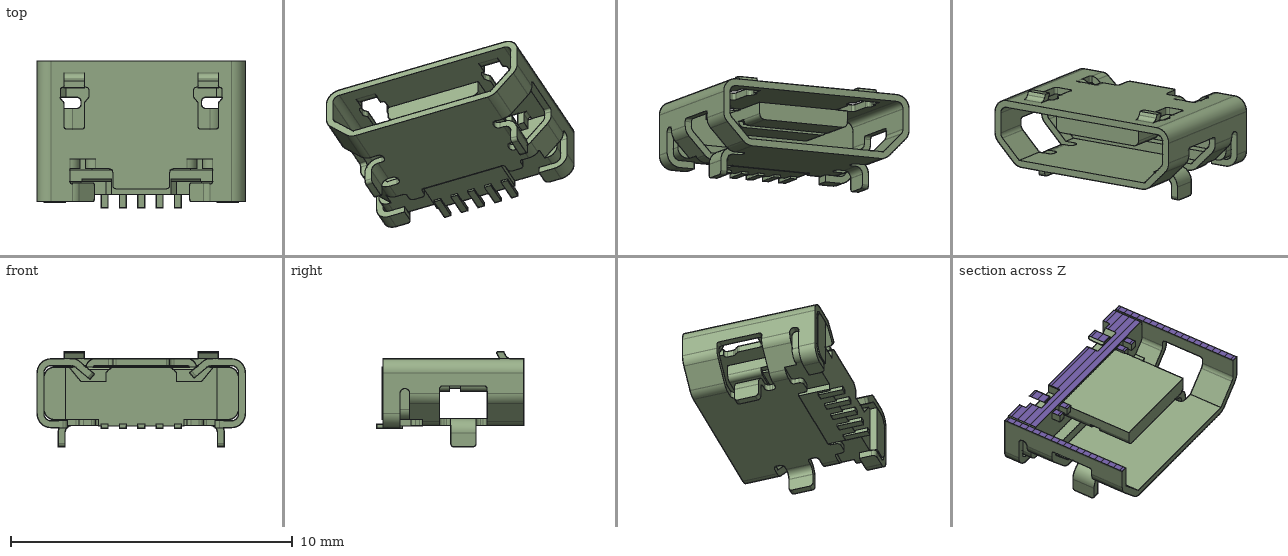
import cadquery as cq
import math


width = 7.4
depth = 5.0
shell_top = 2.45
sheet = 0.25
bend_radius = 0.5
rear_bottom = 0.08
taper = 0.93
half_width = width / 2
inner_half_width = half_width - sheet
rear_floor = rear_bottom + sheet
overrun = 1.0
sheet_cut_margin = 0.1
pick_margin = 0.01

foot_depth = 0.61
foot_inner_x = 2.61
foot_corner = 0.16
slit_end = 0.95
slit_top = 1.39
slit_top_radius = 0.165

lip_half_width = 1.01
lip_front = 0.455
lip_corner = 0.12
notch_half_width = 2.53
notch_rear = 1.17
notch_corner = 0.15
tab_rear = 1.52
tab_inner_x = 1.62
tab_bend_radius = 0.35
tab_drop = 0.4

flap_root_x = 2.44
flap_depth = 0.67
flap_angle = 40
flap_bend_radius = 0.37
left_flap_length = 0.71
right_flap_length = 0.64
flap_corner = 0.1
flap_clearance = 0.05

window_outer_x = 2.74
window_inner_x = 2.015
window_head_outer_x = 2.87
window_head_inner_x = 1.86
window_front = 2.57
window_neck = 3.52
window_outer_shoulder = 3.66
window_inner_shoulder = 3.70
window_rear = 4.06
window_corner = 0.1
hook_top = 2.7
hook_root = 4.56
hook_angle = 63
hook_length = 0.5
hook_bend_radius = 0.235
hook_tip_chamfer = 0.05

cutout_front = 2.01
cutout_rear = 3.70
cutout_top = 1.48
cutout_inner_x = 2.14
cutout_corner = 0.1
leg_slit_corner = 0.15
leg_front = 2.405
leg_rear = 3.31
leg_bottom = -0.68
leg_bend_x = 2.44
leg_bend_radius = 0.51
leg_corner = 0.12

bottom_notch_x = 3.12
bottom_notch_rear = 1.405
bottom_tab_outer_x = 2.205
bottom_tab_inner_x = 1.615
bottom_tab_front = 1.0
bottom_tab_corner = 0.15
bottom_tab_root_radius = 0.11

housing_top = 2.15
housing_bottom = 0.29
housing_corner = 0.36
housing_rear = 1.13
housing_face = 0.25
housing_floor_top = 0.7
end_block_front = -0.03
end_block_x = 2.69
base_half_width = 1.51
base_bottom = 0.06

pocket_bottom = 1.64
pocket_inner_x = 1.25
pocket_mouth_inner_x = 1.06
pocket_inner_chamfer_z = 1.96
pocket_outer_x = 2.14
pocket_mouth_outer_x = 2.56
pocket_rear = 0.71
pocket_mouth_rear = 0.80
pocket_rear_chamfer = 0.08
pocket_chamfer_outer_x = 2.10

tongue_half_width = 1.75
tongue_bottom = 1.29
tongue_top = 1.9
tongue_rear = 4.0
tongue_edge_radius = 0.2
groove_front = 2.37
groove_rear = 2.75
groove_top = 1.40

pin_count = 5
pin_pitch = 0.65
pin_width = 0.25
pin_height = 0.15
pin_bottom = -0.02
pin_tip = -0.22
pin_root = 0.70


def block(x0, x1, y0, y1, z0, z1):
    """Box between two opposite corners."""
    return cq.Workplane("XY").box(x1 - x0, y1 - y0, z1 - z0, centered=False).translate((x0, y0, z0))


def both_sides(body):
    """The body together with its mirror image about X = 0."""
    return body.union(body.mirror("YZ"))


def bent_strip(root_x, top_z, y0, y1, radius, angle, straight, turn=1):
    """Sheet leaving root_x level at top_z, then bent down; turn is its X direction."""
    a = math.radians(angle)
    center_z = top_z - radius
    inner = radius - sheet

    def on_bend(r, t):
        return (root_x + turn * r * math.sin(t), center_z + r * math.cos(t))

    def extended(point):
        return (point[0] + turn * straight * math.cos(a), point[1] - straight * math.sin(a))

    outer_end = on_bend(radius, a)
    inner_end = on_bend(inner, a)
    profile = (
        cq.Workplane("XZ", origin=(0, y1, 0))
        .moveTo(root_x, top_z)
        .threePointArc(on_bend(radius, a / 2), outer_end)
        .lineTo(*extended(outer_end))
        .lineTo(*extended(inner_end))
        .lineTo(*inner_end)
        .threePointArc(on_bend(inner, a / 2), (root_x, top_z - sheet))
        .close()
    )
    return profile.extrude(y1 - y0)


def foot_tube():
    """Rounded rectangular tube that carries the two feet."""
    outer = block(-half_width, half_width, 0, foot_depth, 0, shell_top)
    outer = outer.edges("|Y").fillet(bend_radius)
    inner = block(-inner_half_width, inner_half_width, 0, foot_depth, sheet, shell_top - sheet)
    inner = inner.edges("|Y").fillet(bend_radius - sheet)
    tube = outer.cut(inner)
    gap = block(-foot_inner_x, foot_inner_x, -overrun, foot_depth + overrun, -overrun, sheet + foot_corner)
    tube = tube.cut(gap)
    foot_edges = cq.selectors.BoxSelector(
        (-foot_inner_x - foot_corner, -foot_corner, -foot_corner),
        (foot_inner_x + foot_corner, foot_corner, sheet + foot_corner),
    )
    return tube.edges("|Z").edges(foot_edges).fillet(foot_corner)


def tapered_solid():
    """Outer form of the tapered shell, solid."""
    body = block(-half_width, half_width, foot_depth, depth, rear_bottom, shell_top)
    body = body.edges("|Y and <Z").chamfer(taper)
    return body.edges("|Y").fillet(bend_radius)


def tapered_tube():
    """Tapered shell, hollow from end to end, with sharp inner corners at the floor."""
    inner_taper = taper - (2 - math.sqrt(2)) * sheet
    opening = block(-inner_half_width, inner_half_width, foot_depth, depth, rear_floor, shell_top - sheet)
    opening = opening.edges("|Y and <Z").chamfer(inner_taper)
    opening = opening.edges("|Y and (not <Z)").fillet(bend_radius - sheet)
    return tapered_solid().cut(opening)


def cut_slit(shell):
    """Round-topped slit between each foot and the tapered shell."""
    slit = block(-half_width - overrun, half_width + overrun, foot_depth, slit_end, -overrun, slit_top)
    slit = slit.edges("|X and >Z").fillet(slit_top_radius)
    return shell.cut(slit)


def cut_top_notch(shell):
    """Notch around the flaps, the bent tabs and the middle lip of the top sheet."""
    z0 = shell_top - sheet - sheet_cut_margin
    z1 = shell_top + overrun
    front = block(-flap_root_x, flap_root_x, -overrun, flap_depth, z0, z1)
    wings = block(-notch_half_width, notch_half_width, flap_depth + flap_clearance - flap_corner,
                  notch_rear, z0, z1)
    wings = wings.edges("|Z and <Y").fillet(flap_corner)
    lip = block(-lip_half_width, lip_half_width, lip_front, notch_rear + overrun, z0, z1)
    lip = lip.edges("|Z and <Y").fillet(lip_corner)
    notch = front.union(wings).cut(lip)
    corner_edges = cq.selectors.BoxSelector(
        (-lip_half_width - pick_margin, notch_rear - pick_margin, z0),
        (lip_half_width + pick_margin, notch_rear + pick_margin, z1),
    )
    notch = notch.edges("|Z").edges(corner_edges).fillet(notch_corner)
    tab_slot = block(-notch_half_width, -tab_inner_x, flap_depth + notch_corner, tab_rear, z0, z1)
    return shell.cut(notch).cut(both_sides(tab_slot))


def slanted_flap(length):
    """Flap at -X, bent down into the housing pocket."""
    flap = bent_strip(-flap_root_x, shell_top, 0, flap_depth, flap_bend_radius, flap_angle, length)
    a = math.radians(flap_angle)
    tip = cq.selectors.DirectionNthSelector(cq.Vector(math.cos(a), 0, -math.sin(a)), -1)
    return flap.faces(tip).edges("not |Y").fillet(flap_corner)


def bent_tabs():
    """Pair of tabs bent down behind the housing from either end of the slot."""
    outer = bent_strip(-notch_half_width, shell_top, notch_rear, tab_rear, tab_bend_radius, 90, tab_drop)
    inner = bent_strip(-tab_inner_x, shell_top, notch_rear, tab_rear, tab_bend_radius, 90, tab_drop, -1)
    return outer.union(inner)


def top_window():
    """Keyhole window in the top sheet, with the slot the hook is bent out of."""
    outline = [
        (-window_outer_x, window_front),
        (-window_inner_x, window_front),
        (-window_inner_x, window_neck),
        (-window_head_inner_x, window_inner_shoulder),
        (-window_head_inner_x, window_rear),
        (-window_head_outer_x, window_rear),
        (-window_head_outer_x, window_outer_shoulder),
        (-window_outer_x, window_neck),
    ]
    z0 = shell_top - sheet - sheet_cut_margin
    z1 = shell_top + overrun
    window = cq.Workplane("XY", origin=(0, 0, z0)).polyline(outline).close()
    window = window.extrude(z1 - z0).edges("|Z").fillet(window_corner)
    hook_slot = block(-window_outer_x, -window_inner_x, window_neck, hook_root, z0, z1)
    return window.union(hook_slot)


def hook():
    """Tab at the window rear, bent up above the top sheet and cut off level."""
    outer_radius = hook_bend_radius + sheet
    strip = bent_strip(0, 0, -window_outer_x, -window_inner_x, outer_radius, hook_angle, hook_length)
    strip = strip.rotate((0, 0, 0), (1, 0, 0), 180).rotate((0, 0, 0), (0, 0, 1), -90)
    strip = strip.translate((0, hook_root, shell_top - sheet))
    strip = strip.intersect(block(-half_width, half_width, 0, depth, 0, hook_top))
    return strip.edges("|X and >Z and <Y").chamfer(hook_tip_chamfer)


def side_cutout():
    """Opening through the side wall and the slope, with a slit on either side of the leg."""
    opening = block(-half_width - overrun, -leg_bend_x, cutout_front, cutout_rear, -overrun, cutout_top)
    opening = opening.edges("|X and >Z").fillet(cutout_corner)
    for y0, y1 in ((cutout_front, leg_front), (leg_rear, cutout_rear)):
        slit = block(-half_width, -cutout_inner_x, y0, y1, -overrun, rear_floor + sheet)
        opening = opening.union(slit.edges("|Z and >X").fillet(leg_slit_corner))
    return opening


def solder_leg():
    """Strip leaving the bottom sheet outwards and bent straight down."""
    straight = rear_floor - leg_bend_radius - leg_bottom
    leg = bent_strip(-leg_bend_x, rear_floor, leg_front, leg_rear, leg_bend_radius, 90, straight, -1)
    return leg.edges("|X and <Z").fillet(leg_corner)


def bottom_notch():
    """Recess of the bottom sheet's front edge, leaving a short tab on each side."""
    z1 = rear_floor + sheet_cut_margin
    recess = block(-bottom_notch_x, bottom_notch_x, foot_depth, bottom_notch_rear, -overrun, z1)
    tab = block(-bottom_tab_outer_x, -bottom_tab_inner_x, bottom_tab_front,
                bottom_notch_rear, -overrun, z1)
    tab = tab.edges("|Z and <Y").fillet(bottom_tab_corner)
    recess = recess.cut(both_sides(tab))
    root_edges = cq.selectors.BoxSelector(
        (-bottom_tab_outer_x - pick_margin, bottom_notch_rear - pick_margin, -overrun),
        (bottom_tab_outer_x + pick_margin, bottom_notch_rear + pick_margin, z1),
    )
    return recess.edges("|Z").edges(root_edges).fillet(bottom_tab_root_radius)


def make_shell():
    """Complete folded shell with its flaps, tabs, hooks and legs."""
    shell = cut_slit(foot_tube().union(tapered_tube()))
    shell = cut_top_notch(shell)
    shell = shell.cut(both_sides(top_window()))
    shell = shell.cut(both_sides(side_cutout()))
    shell = shell.cut(bottom_notch())
    shell = shell.union(slanted_flap(left_flap_length))
    shell = shell.union(slanted_flap(right_flap_length).mirror("YZ"))
    for feature in (bent_tabs(), hook(), solder_leg()):
        shell = shell.union(both_sides(feature))
    return shell


def housing_pocket():
    """Pocket under a flap, with a slanted outer wall and chamfered inner and rear edges."""
    outline = [
        (-pocket_outer_x, pocket_bottom),
        (-pocket_inner_x, pocket_bottom),
        (-pocket_inner_x, pocket_inner_chamfer_z),
        (-pocket_mouth_inner_x, housing_top),
        (-pocket_mouth_outer_x, housing_top),
    ]
    pocket = cq.Workplane("XZ", origin=(0, pocket_rear, 0)).polyline(outline).close()
    pocket = pocket.extrude(pocket_rear - housing_face)
    rear_chamfer = (
        cq.Workplane("YZ", origin=(-pocket_chamfer_outer_x, 0, 0))
        .moveTo(pocket_rear, housing_top - pocket_rear_chamfer)
        .lineTo(pocket_mouth_rear, housing_top)
        .lineTo(pocket_rear, housing_top)
        .close()
        .extrude(pocket_chamfer_outer_x - pocket_mouth_inner_x)
    )
    return pocket.union(rear_chamfer)


def make_housing():
    """Housing with end blocks, recessed face, flap pockets and a base holding the pins."""
    body = block(-inner_half_width, inner_half_width, end_block_front, housing_rear,
                 housing_bottom, housing_top)
    body = body.edges("|Y").fillet(housing_corner)
    floor = block(-inner_half_width, inner_half_width, slit_end, tab_rear,
                  housing_bottom, housing_floor_top)
    body = body.union(floor.edges("|Y and <Z").fillet(housing_corner))
    body = body.cut(block(-end_block_x, end_block_x, end_block_front, housing_face,
                          housing_bottom, housing_top))
    behind_slit = block(-half_width, half_width, slit_end, depth, 0, shell_top)
    body = body.cut(behind_slit.cut(tapered_solid()))
    body = body.cut(both_sides(housing_pocket()))
    base = block(-base_half_width, base_half_width, housing_face, bottom_notch_rear,
                 base_bottom, rear_floor)
    return body.union(base)


def make_tongue():
    """Tongue with rounded lower edges, crossed by a groove that also takes the rounding away."""
    tongue = block(-tongue_half_width, tongue_half_width, pocket_mouth_rear, tongue_rear,
                   tongue_bottom, tongue_top)
    tongue = tongue.edges("|Y and <Z").fillet(tongue_edge_radius)
    groove = block(-tongue_half_width, tongue_half_width, groove_front, groove_rear,
                   tongue_bottom, groove_top)
    edge_gap = block(-tongue_half_width, tongue_edge_radius - tongue_half_width, groove_front, groove_rear,
                     tongue_bottom, tongue_bottom + tongue_edge_radius)
    return tongue.cut(groove).cut(both_sides(edge_gap))


def make_pins():
    """Row of flat pins along X."""
    pins = cq.Workplane("XY")
    for i in range(pin_count):
        x = (i - (pin_count - 1) / 2) * pin_pitch
        pins = pins.union(block(x - pin_width / 2, x + pin_width / 2, pin_tip, pin_root,
                                pin_bottom, pin_bottom + pin_height))
    return pins


result = make_shell().union(make_housing()).union(make_tongue()).union(make_pins())